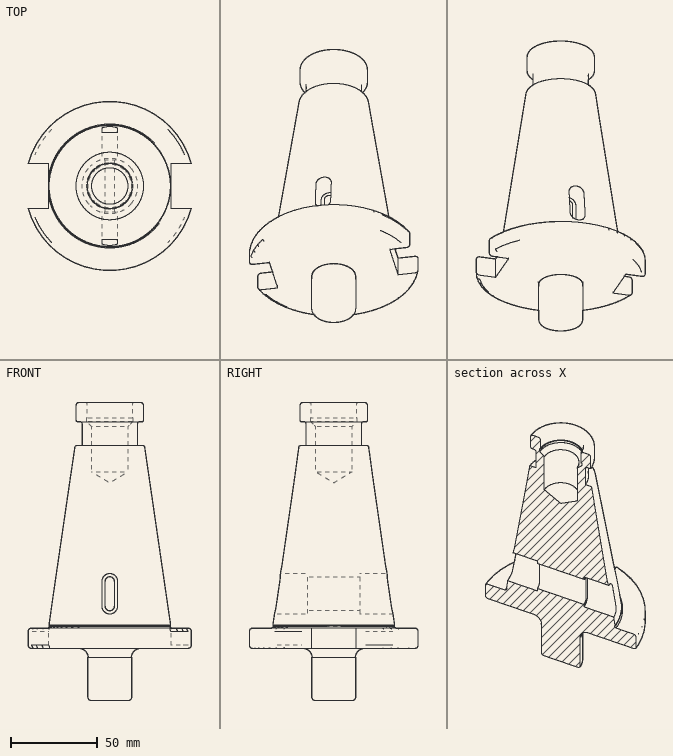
import cadquery as cq
import math

TAPER_RATIO = 7 / 24
GAUGE_DIAMETER = 69.85
TAPER_LENGTH = 102.0
TAPER_TOP_FILLET = 1.2

TAPER_BASE_RISE = 1.8
UNDERCUT_DEPTH = 0.2
UNDERCUT_BEVEL_HEIGHT = 0.6
UNDERCUT_FILLET = 0.8

FLANGE_DIAMETER = 97.5
FLANGE_THICKNESS = 11.8
FLANGE_FILLET = 2.0
GAUGE_GAP = 3.2
NOTCH_WIDTH = 25.7
NOTCH_FACE_X = 35.3

SHANK_DIAMETER = 25.4
SHANK_LENGTH = 30.0
ROOT_FILLET = 5.3
ROOT_UNDERCUT = 0.2
SHANK_END_FILLET = 2.0

NECK_DIAMETER = 32.0
COLLAR_DIAMETER = 39.0
COLLAR_HEIGHT = 11.2
NECK_LENGTH = 13.6
COLLAR_TOP_FILLET = 1.8
COLLAR_BASE_FILLET = 1.0
NECK_ROOT_FILLET = 1.2

BORE_DIAMETER = 26.0
BORE_DEPTH = 9.0
BORE_MOUTH_FILLET = 1.4
GROOVE_DEPTH = 0.4
GROOVE_WIDTH = 2.0
DRILL_DIAMETER = 21.0
DRILL_DEPTH = 40.0
DRILL_POINT_ANGLE = 118

SLOT_WIDTH = 9.0
SLOT_HEIGHT = 23.3
SLOT_BOTTOM_Z = 49.9
SLOT_LEDGE = 1.9
SLOT_POCKET_FLOOR_Y = 15.0

FLANGE_TOP_Z = SHANK_LENGTH + FLANGE_THICKNESS
GAUGE_Z = FLANGE_TOP_Z + GAUGE_GAP
TAPER_TOP_Z = GAUGE_Z + TAPER_LENGTH
COLLAR_BASE_Z = TAPER_TOP_Z + NECK_LENGTH
TOP_Z = COLLAR_BASE_Z + COLLAR_HEIGHT


def disc(diameter, base_z, height):
    return cq.Workplane("XY").workplane(offset=base_z).circle(diameter / 2).extrude(height)


def revolve(half_profile):
    """Close an XZ half profile and turn it about the Z axis."""
    return half_profile.close().revolve(360, (0, 0), (0, 1))


def concave_ring(radius, fillet, face_z, side):
    """Solid with a concave quarter-round from a stem of the given radius out to a flat face.

    The stem lies above the face when side is 1 and below it when side is -1.
    """
    stem_z = face_z + side * fillet
    arc_inset = fillet * math.sqrt(0.5)
    return revolve(
        cq.Workplane("XZ")
        .moveTo(0, stem_z)
        .lineTo(radius, stem_z)
        .threePointArc(
            (radius + fillet - arc_inset, stem_z - side * arc_inset),
            (radius + fillet, face_z),
        )
        .lineTo(0, face_z)
    )


def make_shank():
    """Shank with a rounded lower end, slightly relieved where its root blends into the flange."""
    shank = disc(SHANK_DIAMETER, 0, SHANK_LENGTH - ROOT_FILLET)
    shank = shank.faces("<Z").edges().fillet(SHANK_END_FILLET)
    root = concave_ring(SHANK_DIAMETER / 2 - ROOT_UNDERCUT, ROOT_FILLET, SHANK_LENGTH, -1)
    return shank.union(root)


def make_flange():
    return disc(FLANGE_DIAMETER, SHANK_LENGTH, FLANGE_THICKNESS).edges().fillet(FLANGE_FILLET)


def taper_radius(z):
    return (GAUGE_DIAMETER - (z - GAUGE_Z) * TAPER_RATIO) / 2


def make_taper():
    """Taper standing on a shallow undercut that is rounded into the flange."""
    base_z = FLANGE_TOP_Z + TAPER_BASE_RISE
    base_radius = taper_radius(base_z)
    undercut_radius = base_radius - UNDERCUT_DEPTH
    taper = revolve(
        cq.Workplane("XZ")
        .moveTo(0, FLANGE_TOP_Z)
        .lineTo(undercut_radius, FLANGE_TOP_Z)
        .lineTo(undercut_radius, base_z - UNDERCUT_BEVEL_HEIGHT)
        .lineTo(base_radius, base_z)
        .lineTo(taper_radius(TAPER_TOP_Z), TAPER_TOP_Z)
        .lineTo(0, TAPER_TOP_Z)
    )
    taper = taper.faces(">Z").edges().fillet(TAPER_TOP_FILLET)
    return taper.union(concave_ring(undercut_radius, UNDERCUT_FILLET, FLANGE_TOP_Z, 1))


def make_collar():
    neck = disc(NECK_DIAMETER, TAPER_TOP_Z, NECK_LENGTH)
    collar = disc(COLLAR_DIAMETER, COLLAR_BASE_Z, COLLAR_HEIGHT)
    collar = collar.faces(">Z").edges().fillet(COLLAR_TOP_FILLET)
    collar = collar.faces("<Z").edges().fillet(COLLAR_BASE_FILLET)
    neck_root = concave_ring(NECK_DIAMETER / 2, NECK_ROOT_FILLET, COLLAR_BASE_Z, -1)
    return neck.union(neck_root).union(collar)


def make_bore():
    """Rounded mouth, bore, relief groove, conical seat and drilled hole with a pointed end."""
    bore_radius = BORE_DIAMETER / 2
    groove_radius = bore_radius + GROOVE_DEPTH
    drill_radius = DRILL_DIAMETER / 2
    groove_top_z = TOP_Z - BORE_DEPTH
    groove_base_z = groove_top_z - GROOVE_WIDTH
    seat_base_z = groove_base_z - (groove_radius - drill_radius)
    drill_end_z = TOP_Z - DRILL_DEPTH
    tip_height = drill_radius / math.tan(math.radians(DRILL_POINT_ANGLE / 2))
    arc_inset = BORE_MOUTH_FILLET * (1 - math.sqrt(0.5))
    return revolve(
        cq.Workplane("XZ")
        .moveTo(0, TOP_Z)
        .lineTo(bore_radius + BORE_MOUTH_FILLET, TOP_Z)
        .threePointArc(
            (bore_radius + arc_inset, TOP_Z - arc_inset),
            (bore_radius, TOP_Z - BORE_MOUTH_FILLET),
        )
        .lineTo(bore_radius, groove_top_z)
        .lineTo(groove_radius, groove_top_z)
        .lineTo(groove_radius, groove_base_z)
        .lineTo(drill_radius, seat_base_z)
        .lineTo(drill_radius, drill_end_z)
        .lineTo(0, drill_end_z - tip_height)
    )


def cut_notches(body):
    """Open a driving notch on each X side, flat-floored and through the flange."""
    notch_depth = FLANGE_DIAMETER / 2 - NOTCH_FACE_X
    for side in (-1, 1):
        notch_x = side * (NOTCH_FACE_X + notch_depth / 2)
        notch = (
            cq.Workplane("XY")
            .workplane(offset=SHANK_LENGTH)
            .center(notch_x, 0)
            .rect(notch_depth, NOTCH_WIDTH)
            .extrude(FLANGE_THICKNESS + UNDERCUT_FILLET)
        )
        body = body.cut(notch)
    return body


def slot(height, width, length):
    """Upright round-ended slot running along Y, centred on Y = 0."""
    middle_z = SLOT_BOTTOM_Z + SLOT_HEIGHT / 2
    return (
        cq.Workplane("XZ")
        .slot2D(height, width, 90)
        .extrude(length / 2, both=True)
        .translate((0, 0, middle_z))
    )


def cut_slot(body):
    inner = slot(SLOT_HEIGHT - 2 * SLOT_LEDGE, SLOT_WIDTH - 2 * SLOT_LEDGE, FLANGE_DIAMETER)
    pocket_depth = FLANGE_DIAMETER / 2 - SLOT_POCKET_FLOOR_Y
    body = body.cut(inner)
    for side in (-1, 1):
        pocket = slot(SLOT_HEIGHT, SLOT_WIDTH, pocket_depth)
        body = body.cut(pocket.translate((0, side * (SLOT_POCKET_FLOOR_Y + pocket_depth / 2), 0)))
    return body


body = make_shank().union(make_flange()).union(make_taper()).union(make_collar())
result = cut_slot(cut_notches(body.cut(make_bore())))